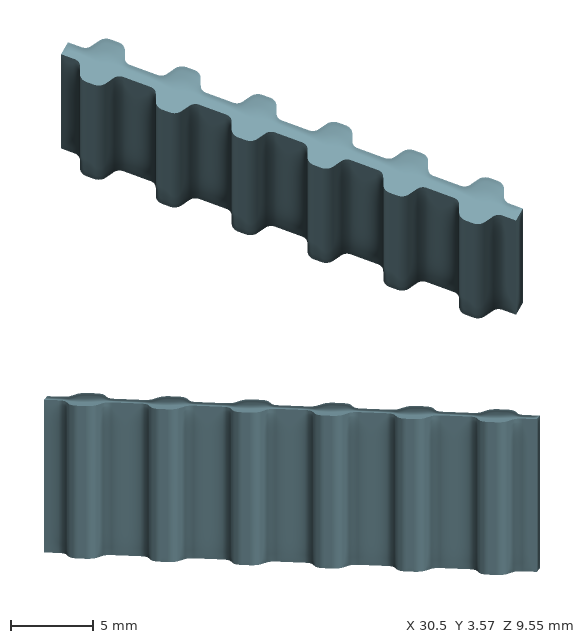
import cadquery as cq
import math

length = 30.48
thickness = 3.57
belt_width = 9.55
tooth_count = 6
web_thickness = 1.0
tooth_root_width = 2.55
flank_angle = 25.0
tip_radius = 0.67
root_radius = 0.55

pitch = length / tooth_count
tip_y = thickness / 2
web_y = web_thickness / 2

angle = math.radians(flank_angle)
turn = math.pi / 2 - angle
tooth_tip_width = tooth_root_width - 2 * (tip_y - web_y) * math.tan(angle)


def rounding_points(corner_x, radius):
    """Points (distance from tooth centreline, depth below the flat) at the flat end,
    middle and flank end of the arc rounding the corner at corner_x.

    A positive radius rounds the tip; a negative one fillets the root.
    """
    flat_x = corner_x - radius * math.tan(turn / 2)
    return [
        (flat_x + radius * math.sin(sweep), radius * (1 - math.cos(sweep)))
        for sweep in (0, turn / 2, turn)
    ]


tip_arc = [(x, tip_y - depth) for x, depth in rounding_points(tooth_tip_width / 2, tip_radius)]
root_arc = [(x, web_y - depth) for x, depth in rounding_points(tooth_root_width / 2, -root_radius)]


def add_tooth(outline, centre_x):
    """Continue the upper outline, running along +X, over one tooth."""
    def left(point):
        return (centre_x - point[0], point[1])

    def right(point):
        return (centre_x + point[0], point[1])

    root_flat, root_middle, root_flank = root_arc
    tip_flat, tip_middle, tip_flank = tip_arc
    return (
        outline
        .lineTo(*left(root_flat))
        .threePointArc(left(root_middle), left(root_flank))
        .lineTo(*left(tip_flank))
        .threePointArc(left(tip_middle), left(tip_flat))
        .lineTo(*right(tip_flat))
        .threePointArc(right(tip_middle), right(tip_flank))
        .lineTo(*right(root_flank))
        .threePointArc(right(root_middle), right(root_flat))
    )


outline = cq.Workplane("XY").moveTo(-length / 2, 0).lineTo(-length / 2, web_y)
for index in range(tooth_count):
    outline = add_tooth(outline, -length / 2 + (index + 0.5) * pitch)
outline = outline.lineTo(length / 2, web_y).lineTo(length / 2, 0).close()
upper_half = outline.extrude(belt_width)

result = upper_half.union(upper_half.mirror("XZ")).clean()